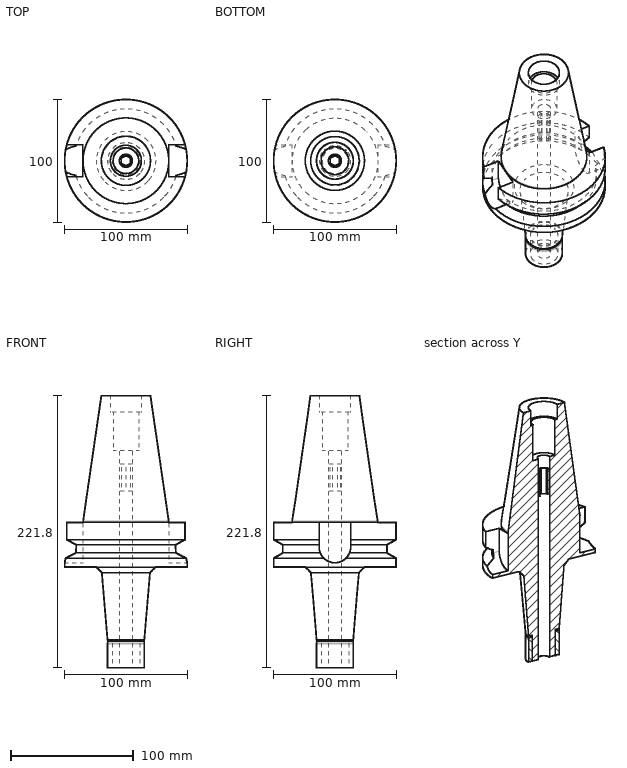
import cadquery as cq
import math


taper_length = 101.8
gauge_radius = 34.93
taper_tip_radius = gauge_radius - taper_length * 7 / 24 / 2
gauge_land_height = 1.5

flange_radius = 50.02
flange_top = -gauge_land_height
flange_bottom = -38.0
groove_top = -15.5
groove_bottom = -30.5
groove_floor_radius = 42.5
groove_flank_height = (flange_radius - groove_floor_radius) / math.tan(math.radians(60))

slot_width = 25.7
slot_bottom = -34.4
slot_floor_distance = 35.0

nose_root_radius = 24.2
nose_top_radius = 19.7
nose_bevel_height = nose_root_radius - nose_top_radius
nose_end = -97.1

nut_gap = 1.0
nut_radius = 15.0
nut_rim_height = 1.3
nut_step = 0.1
nut_rim_radius = nut_radius - nut_step
nut_bevel_height = 0.7
nut_top = nose_end - nut_gap
overall_length = 221.8
nut_bottom = taper_length - overall_length
collar_radius = 11.3

drawbar_pilot_radius = 12.6
drawbar_pilot_depth = 13.0
drawbar_bore_radius = 10.5
drawbar_bore_depth = 44.4
screw_radius = 5.3

screw_length = 22.2
screw_recess = 11.0
socket_across_flats = 7.3


def make_holder_blank():
    """Turned outside of the holder, from the taper tip to the collar end."""
    profile = [
        (0, taper_length),
        (taper_tip_radius, taper_length),
        (gauge_radius, 0),
        (gauge_radius, flange_top),
        (flange_radius, flange_top),
        (flange_radius, groove_top),
        (groove_floor_radius, groove_top - groove_flank_height),
        (groove_floor_radius, groove_bottom + groove_flank_height),
        (flange_radius, groove_bottom),
        (flange_radius, flange_bottom),
        (nose_root_radius, flange_bottom),
        (nose_top_radius, flange_bottom - nose_bevel_height),
        (nut_radius, nose_end),
        (collar_radius, nose_end),
        (collar_radius, nut_bottom),
        (0, nut_bottom),
    ]
    return cq.Workplane("XZ").polyline(profile).close().revolve(360, (0, 0), (0, 1))


def make_bore():
    """Drawbar pilot, drawbar bore and the narrow through hole, as one cutter."""
    top = cq.Workplane("XY").workplane(offset=taper_length)
    pilot = top.circle(drawbar_pilot_radius).extrude(-drawbar_pilot_depth)
    drawbar_bore = top.circle(drawbar_bore_radius).extrude(-drawbar_bore_depth)
    through_hole = top.circle(screw_radius).extrude(-overall_length)
    return pilot.union(drawbar_bore).union(through_hole)


def make_drive_slot(side):
    """Cutter for the drive slot on the +X (side = 1) or -X (side = -1) side."""
    half_width = slot_width / 2
    arc_height = slot_bottom + half_width
    return (
        cq.Workplane("YZ")
        .workplane(offset=side * slot_floor_distance)
        .moveTo(-half_width, flange_top)
        .lineTo(-half_width, arc_height)
        .threePointArc((0, slot_bottom), (half_width, arc_height))
        .lineTo(half_width, flange_top)
        .close()
        .extrude(side * flange_radius)
    )


def make_holder():
    holder = make_holder_blank().cut(make_bore())
    for side in (-1, 1):
        holder = holder.cut(make_drive_slot(side))
    return holder


def make_nut():
    """Ring around the collar; a slight bevel widens it below its upper rim."""
    rim_bottom = nut_top - nut_rim_height
    profile = [
        (collar_radius, nut_top),
        (nut_rim_radius, nut_top),
        (nut_rim_radius, rim_bottom),
        (nut_radius, rim_bottom - nut_bevel_height),
        (nut_radius, nut_bottom),
        (collar_radius, nut_bottom),
    ]
    return cq.Workplane("XZ").polyline(profile).close().revolve(360, (0, 0), (0, 1))


def make_adjusting_screw():
    """Headless screw in the through hole; the socket has corners along Y."""
    screw_top = taper_length - drawbar_bore_depth - screw_recess
    socket_across_corners = socket_across_flats / math.cos(math.radians(30))
    top = cq.Workplane("XY").workplane(offset=screw_top)
    socket = top.transformed(rotate=(0, 0, 90)).polygon(6, socket_across_corners).extrude(-screw_length)
    return top.circle(screw_radius).extrude(-screw_length).cut(socket)


holder = make_holder()
nut = make_nut()
adjusting_screw = make_adjusting_screw()

result = cq.Compound.makeCompound([holder.val(), nut.val(), adjusting_screw.val()])